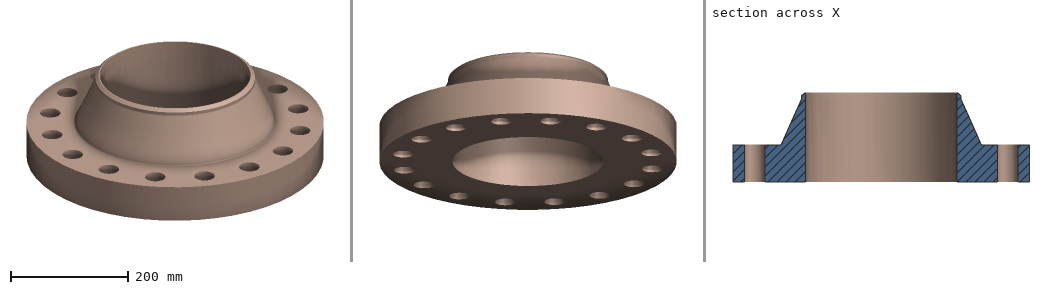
import cadquery as cq
import math

FLANGE_DIAMETER = 508.0
FLANGE_THICKNESS = 63.5
TOTAL_HEIGHT = 152.4

BOLT_CIRCLE_DIAMETER = 431.8
BOLT_HOLE_DIAMETER = 35.0
BOLT_HOLE_COUNT = 16

HUB_FOOT_DIAMETER = 343.0
HUB_FOOT_FILLET = 3.0
WELD_END_DIAMETER = 273.0
WALL_THICKNESS = 7.8
WELD_LAND_WIDTH = 2.0
WELD_BEVEL_ANGLE = 37.5
WELD_NECK_LENGTH = 6.0

flange_radius = FLANGE_DIAMETER / 2
hub_foot_radius = HUB_FOOT_DIAMETER / 2
weld_end_radius = WELD_END_DIAMETER / 2
bore_radius = weld_end_radius - WALL_THICKNESS
land_radius = bore_radius + WELD_LAND_WIDTH

bevel_height = (weld_end_radius - land_radius) * math.tan(math.radians(WELD_BEVEL_ANGLE))
bevel_start = TOTAL_HEIGHT - bevel_height
taper_end = bevel_start - WELD_NECK_LENGTH


def flange_body():
    """Revolve the ring, tapered hub, short straight neck and bevelled weld end about Z."""
    profile = (
        cq.Workplane("XZ")
        .moveTo(bore_radius, 0)
        .lineTo(flange_radius, 0)
        .lineTo(flange_radius, FLANGE_THICKNESS)
        .lineTo(hub_foot_radius, FLANGE_THICKNESS)
        .lineTo(weld_end_radius, taper_end)
        .lineTo(weld_end_radius, bevel_start)
        .lineTo(land_radius, TOTAL_HEIGHT)
        .lineTo(bore_radius, TOTAL_HEIGHT)
        .close()
    )
    return profile.revolve(360, (0, 0, 0), (0, 1, 0))


def round_hub_foot(body):
    """Fillet the circle where the hub meets the top of the ring."""
    second_largest = -2
    foot_edge = cq.selectors.RadiusNthSelector(second_largest)
    return body.edges("%CIRCLE").edges(foot_edge).fillet(HUB_FOOT_FILLET)


def bolt_holes():
    """Through-hole cutters, evenly spaced on the bolt circle with one on the +X axis."""
    return (
        cq.Workplane("XY")
        .polarArray(BOLT_CIRCLE_DIAMETER / 2, 0, 360, BOLT_HOLE_COUNT)
        .circle(BOLT_HOLE_DIAMETER / 2)
        .extrude(FLANGE_THICKNESS)
    )


result = round_hub_foot(flange_body()).cut(bolt_holes())